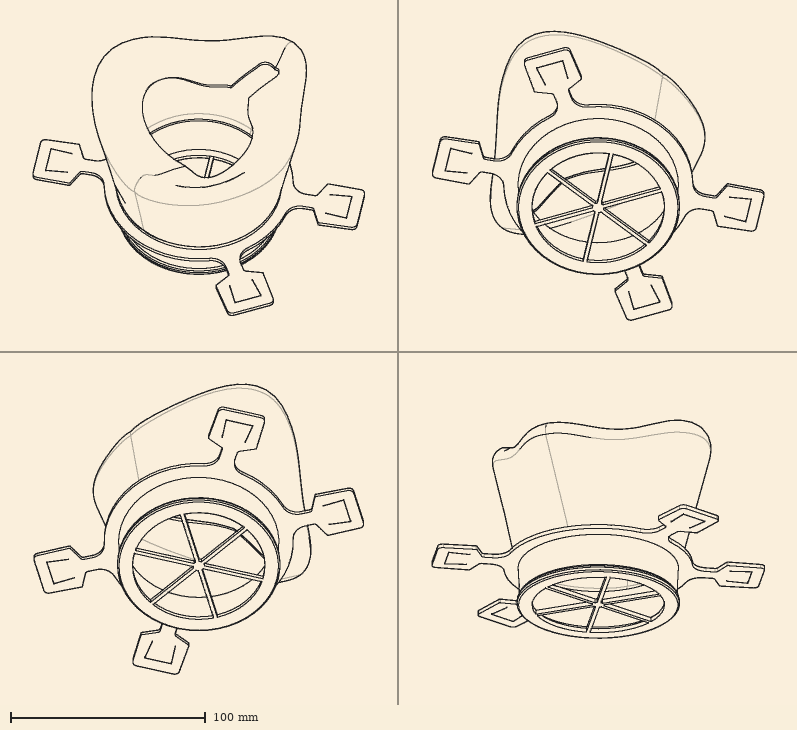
import cadquery as cq
import math

rim_radius = 83.5 / 2
rim_foot_radius = 81.9 / 2
rim_chamfer_height = 0.7
rim_widest_z = 2.2
rim_top_z = 3.2
rim_top_radius = 41.4
wall_foot_z = 4.2
wall_foot_radius = 40.6
seat_radius = 41.2
strap_thickness = 2.1
strap_bottom_z = 21.0
strap_top_z = strap_bottom_z + strap_thickness
flange_radius = 42.7
housing_top_z = 25.4
bore_top_radius = 38.7
bore_foot_radius = 36.3
bore_foot_z = wall_foot_z
lip_radius = 34.0
lip_z = 2.2

spoke_count = 6
spoke_width = 2.0
spoke_height = lip_z
spoke_overlap = 1.0
hub_radius = 3.0

strap_ring_radius = 48.6
tab_angles = (30, 150, 210, 330)
tab_end = 84.9
tab_end_half_width = 12.35
tab_shoulder = 65.1
tab_shoulder_half_width = 12.8
tab_root = 60.9
neck_half_width = 4.0
tab_corner_radius = 2.6
root_fillet = 1.5
shoulder_fillet = 0.6
neck_fillet = 8.0
slit_width = 0.15
slit_outer = 78.8
slit_outer_half_width = 7.1
slit_inner = 67.6
slit_inner_half_width = 6.1
edge_match_tolerance = 0.01

cushion_foot_radius = flange_radius
cushion_foot_inner_radius = 39.7
cushion_chamfer_z = 28.3
cushion_wall = 1.6
crest_inset = 4.3
brow_reach = 0.78
brow_rise = 0.68
roll_width = 10.0

stations = [
    (-90, 49.8, 65.0, 72.6, 7.5, 10.3, 48.0),
    (-70, 50.1, 67.5, 74.7, 8.5, 11.4, 48.3),
    (-50, 52.1, 72.9, 78.7, 10.5, 15.6, 50.2),
    (-30, 55.9, 80.2, 86.4, 11.0, 27.1, 63.5),
    (-10, 58.2, 85.1, 93.25, 8.5, 32.5, 76.5),
    (10, 55.3, 83.9, 92.2, 6.0, 31.2, 79.2),
    (30, 52.3, 78.2, 85.7, 4.0, 28.1, 77.5),
    (50, 53.0, 71.0, 78.5, 2.2, 26.0, 73.7),
    (65, 58.8, 66.6, 74.8, 2.6, 27.5, 71.8),
    (78, 68.8, 64.8, 73.0, 4.0, 32.0, 69.5),
    (90, 74.6, 64.5, 72.8, 10.0, 33.0, 63.5),
]

nose_slot_width = 11.9
nose_slot_end = 59.5
nose_slot_start = 22.0
nose_slot_bottom_z = 52.0
nose_slot_height = 30.0


def make_housing():
    profile = [
        (lip_radius, 0),
        (rim_foot_radius, 0),
        (rim_radius, rim_chamfer_height),
        (rim_radius, rim_widest_z),
        (rim_top_radius, rim_top_z),
        (wall_foot_radius, wall_foot_z),
        (seat_radius, strap_bottom_z),
        (seat_radius, strap_top_z),
        (flange_radius, strap_top_z),
        (flange_radius, housing_top_z),
        (bore_top_radius, housing_top_z),
        (bore_foot_radius, bore_foot_z),
        (lip_radius, lip_z),
    ]
    ring = cq.Workplane("XZ").polyline(profile).close().revolve(360, (0, 0, 0), (0, 1, 0))
    spider = cq.Workplane("XY").circle(hub_radius).extrude(spoke_height)
    spoke_length = lip_radius + spoke_overlap
    for index in range(spoke_count):
        spoke = (
            cq.Workplane("XY")
            .center(spoke_length / 2, 0)
            .rect(spoke_length, spoke_width)
            .extrude(spoke_height)
            .rotate((0, 0, 0), (0, 0, 1), index * 360 / spoke_count)
        )
        spider = spider.union(spoke)
    return ring.union(spider)


def corner_edges(body, places, angle):
    """Vertical edges of a tab at (along, across) places, mirrored about the tab's centre line."""
    c, s = math.cos(math.radians(angle)), math.sin(math.radians(angle))
    picked = []
    for edge in body.edges("|Z").vals():
        centre = edge.Center()
        along = centre.x * c + centre.y * s
        across = abs(centre.y * c - centre.x * s)
        for place in places:
            if math.hypot(along - place[0], across - place[1]) < edge_match_tolerance:
                picked.append(edge)
    return body.newObject(picked)


def strap_plane():
    return cq.Workplane("XY").workplane(offset=strap_bottom_z)


def make_tab():
    half = [
        (0, neck_half_width),
        (tab_root, neck_half_width),
        (tab_shoulder, tab_shoulder_half_width),
        (tab_end, tab_end_half_width),
    ]
    outline = half + [(along, -across) for along, across in reversed(half)]
    tab = strap_plane().polyline(outline).close().extrude(strap_thickness)
    tab = corner_edges(tab, [half[3]], 0).fillet(tab_corner_radius)
    tab = corner_edges(tab, [half[2]], 0).fillet(shoulder_fillet)
    tab = corner_edges(tab, [half[1]], 0).fillet(root_fillet)
    slit_path = [
        (slit_inner, slit_inner_half_width),
        (slit_outer, slit_outer_half_width),
        (slit_outer, -slit_outer_half_width),
        (slit_inner, -slit_inner_half_width),
    ]
    slit = strap_plane().polyline(slit_path).offset2D(slit_width / 2).extrude(strap_thickness)
    return tab.cut(slit)


def make_strap():
    strap = strap_plane().circle(strap_ring_radius).extrude(strap_thickness)
    tab = make_tab()
    for angle in tab_angles:
        strap = strap.union(tab.rotate((0, 0, 0), (0, 0, 1), angle))
    neck_start = math.sqrt(strap_ring_radius**2 - neck_half_width**2)
    for angle in tab_angles:
        strap = corner_edges(strap, [(neck_start, neck_half_width)], angle).fillet(neck_fillet)
    bore = strap_plane().circle(seat_radius).extrude(strap_thickness)
    return strap.cut(bore)


def inward_offset(points, distance):
    """Points (radius, z) of a curve running up and inwards, moved to its inner side."""
    moved = []
    last = len(points) - 1
    for index, (radius, z) in enumerate(points):
        before = points[max(index - 1, 0)]
        after = points[min(index + 1, last)]
        run, rise = after[0] - before[0], after[1] - before[1]
        length = math.hypot(run, rise)
        moved.append((radius - distance * rise / length, z + distance * run / length))
    return moved


def cushion_section(angle, top_radius, top_z, crest_z, roll_drop, edge_radius, edge_z):
    """Closed cross-section of the cushion in the half plane at the given angle."""
    c, s = math.cos(math.radians(angle)), math.sin(math.radians(angle))

    def at(point):
        return cq.Vector(point[0] * c, point[0] * s, point[1])

    crest_radius = top_radius - crest_inset
    foot = (cushion_foot_radius, housing_top_z)
    roll_foot = (crest_radius - roll_width, crest_z - roll_drop)
    wall_top = (top_radius, top_z)
    outside = [
        wall_top,
        (crest_radius + brow_reach * crest_inset, top_z + brow_rise * (crest_z - top_z)),
        (crest_radius, crest_z),
        roll_foot,
        ((roll_foot[0] + edge_radius) / 2, (roll_foot[1] + edge_z) / 2),
        (edge_radius, edge_z),
    ]
    inside = inward_offset([foot] + outside, cushion_wall)[1:]
    feet = [
        (cushion_foot_radius - cushion_wall, cushion_chamfer_z),
        (cushion_foot_inner_radius, housing_top_z),
        foot,
    ]
    outer = [at(point) for point in outside]
    inner = [at(point) for point in reversed(inside)]
    corners = [inner[-1]] + [at(point) for point in feet] + [outer[0]]
    edges = [
        cq.Edge.makeSpline(outer),
        cq.Edge.makeLine(outer[-1], inner[0]),
        cq.Edge.makeSpline(inner),
    ]
    for start, end in zip(corners, corners[1:]):
        edges.append(cq.Edge.makeLine(start, end))
    return cq.Wire.assembleEdges(edges)


def make_cushion():
    half = cq.Workplane(cq.Solid.makeLoft([cushion_section(*station) for station in stations]))
    slot = (
        cq.Workplane("XY")
        .workplane(offset=nose_slot_bottom_z)
        .center(0, (nose_slot_start + nose_slot_end) / 2)
        .slot2D(nose_slot_end - nose_slot_start, nose_slot_width, 90)
        .extrude(nose_slot_height)
    )
    half = half.cut(slot, clean=False)
    return half.union(half.mirror("YZ"), clean=False)


housing = make_housing()
strap = make_strap()
cushion = make_cushion()

result = cq.Compound.makeCompound([housing.val(), strap.val(), *cushion.vals()])